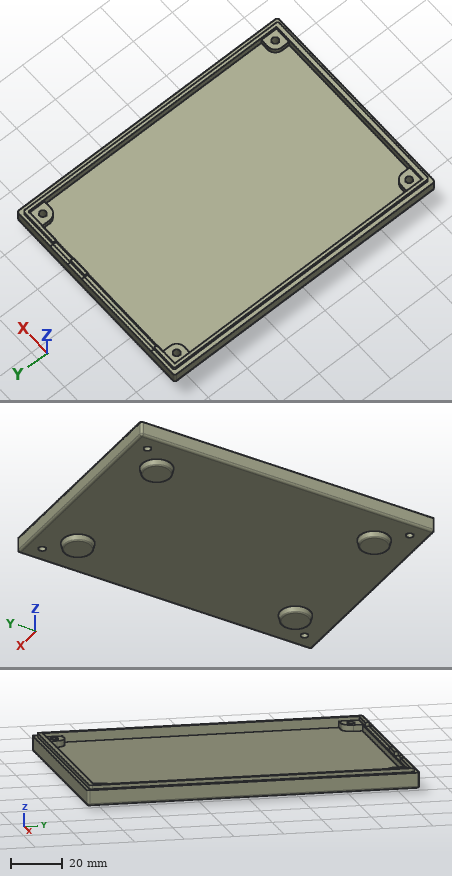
import cadquery as cq

width = 95.7
length = 133.8
body_height = 6.3
lip_height = 1.5
edge_radius = 1.0

lip_inset_x = 2.0
lip_inset_y = 1.5
wall = 3.5
floor_thickness = 3.7

hole_diameter = 3.1
hole_inset = 7.2
boss_radius = 4.0
boss_height = 2.5

foot_top_diameter = 13.4
foot_bottom_diameter = 12.3
foot_height = 2.5
foot_edge_radius = 0.5
foot_inset = 17.4

ledge_depth = 0.4
ledge_drop = 0.2
rim_notch_drop = 0.07
lip_notch_drop = 0.1
notches = ((14.2, 56.3), (64.9, 75.5))

cut_clearance = 1.3
cut_top = body_height + lip_height + cut_clearance
boss_top = floor_thickness + boss_height
hole_x = width / 2 - hole_inset
hole_y = length / 2 - hole_inset
foot_x = width / 2 - foot_inset
foot_y = length / 2 - foot_inset
inner_x = width / 2 - wall
inner_y = length / 2 - wall
lip_y = length / 2 - lip_inset_y


def block(x_range, y_range, z_range):
    """Box spanning the given start and end along each axis."""
    ranges = (x_range, y_range, z_range)
    size = [end - start for start, end in ranges]
    corner = tuple(start for start, end in ranges)
    return cq.Workplane("XY").box(*size, centered=False).translate(corner)


def centred_block(half_x, half_y, z_range):
    return block((-half_x, half_x), (-half_y, half_y), z_range)


def outer_body():
    """Rounded slab with the narrower lip on top."""
    body = centred_block(width / 2, length / 2, (0, body_height))
    body = body.edges("|Z").fillet(edge_radius)
    body = body.faces("<Z").edges().fillet(edge_radius)
    lip_x = width / 2 - lip_inset_x
    lip = centred_block(lip_x, lip_y, (body_height, body_height + lip_height))
    return body.union(lip.edges("|Z").fillet(edge_radius))


def cavity():
    """Main pocket, widened at the rear wall above the ledge."""
    pocket = centred_block(inner_x, inner_y, (floor_thickness, cut_top))
    ledge_range = (body_height - ledge_drop, cut_top)
    ledge = block((-inner_x, inner_x), (0, inner_y + ledge_depth), ledge_range)
    return pocket.union(ledge)


def rear_notch(start, end):
    """Gap in the rear lip, with a slightly lower floor under the lip than on the rim."""
    x_range = (start - width / 2, end - width / 2)
    under_lip = block(x_range, (inner_y, lip_y), (body_height - lip_notch_drop, cut_top))
    rim_y_range = (lip_y, length / 2 + cut_clearance)
    on_rim = block(x_range, rim_y_range, (body_height - rim_notch_drop, cut_top))
    return under_lip.union(on_rim)


def corner_boss():
    """Boss in the +X +Y corner, reaching slightly into both walls."""
    boss = block(
        (hole_x - boss_radius, inner_x + ledge_depth),
        (hole_y - boss_radius, inner_y + ledge_depth),
        (floor_thickness, boss_top),
    )
    return boss.edges("|Z and <X and <Y").fillet(boss_radius)


def foot():
    """Tapered foot with a rounded bottom edge, hanging below Z = 0."""
    top_radius = foot_top_diameter / 2
    bottom_radius = foot_bottom_diameter / 2
    profile = (
        cq.Workplane("XZ")
        .lineTo(top_radius, 0)
        .lineTo(bottom_radius, foot_edge_radius - foot_height)
        .radiusArc((bottom_radius - foot_edge_radius, -foot_height), foot_edge_radius)
        .lineTo(0, -foot_height)
        .close()
    )
    return profile.revolve(360, (0, 0), (0, 1)).translate((foot_x, foot_y, 0))


def at_all_corners(shape):
    """The +X +Y corner shape together with its three mirror images."""
    pair = shape.union(shape.mirror("YZ"))
    return pair.union(pair.mirror("XZ"))


result = outer_body().cut(cavity())
for notch_start, notch_end in notches:
    result = result.cut(rear_notch(notch_start, notch_end))

result = result.union(at_all_corners(corner_boss()))
result = result.union(at_all_corners(foot()))

hole = cq.Workplane("XY").center(hole_x, hole_y).circle(hole_diameter / 2).extrude(boss_top)
result = result.cut(at_all_corners(hole))